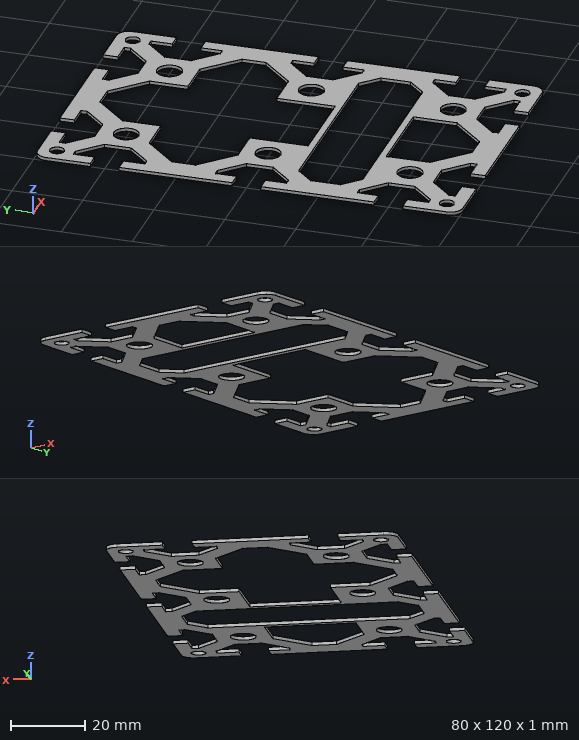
import cadquery as cq

length = 120.0
module = length / 3
width = 2 * module
thickness = 1.0
corner_radius = 3.5

slot_opening = 8.0
slot_inner_width = 20.0
slot_floor_width = 7.5
lip_thickness = 4.2
slot_depth = 12.2
slot_flank_depth = slot_depth - (slot_inner_width - slot_floor_width) / 2

core_hole_diameter = 7.0
corner_hole_diameter = 4.0
corner_hole_inset = 5.0

outer_wall = 7.5
arm_half_width = 12.5
arm_chamfer = 9.1
web_thickness = 2.0
channel_height = 18.0
channel_chamfer = 4.8

upper_node_y = module / 2
channel_y = -module / 2
cavity_half_width = width / 2 - outer_wall
cavity_top = length / 2 - outer_wall
arm_tip_half_width = arm_half_width - arm_chamfer
arm_chamfer_start = cavity_half_width - arm_chamfer
web_offset = channel_height / 2 + web_thickness


def mirrored_prism(right_side):
    """Extrude an outline symmetric about X = 0, given its right-hand points in order."""
    left_side = [(-x, y) for x, y in reversed(right_side)]
    return cq.Workplane("XY").polyline(right_side + left_side).close().extrude(thickness)


def t_slot():
    """Slot cutter that opens through the line Y = 0 and reaches down into -Y."""
    return mirrored_prism([
        (slot_opening / 2, 0),
        (slot_opening / 2, -lip_thickness),
        (slot_inner_width / 2, -lip_thickness),
        (slot_inner_width / 2, -slot_flank_depth),
        (slot_floor_width / 2, -slot_depth),
    ])


def cross_cavity():
    """Upper cavity: a cross with tapered top and side arms and a square lower arm."""
    return mirrored_prism([
        (arm_tip_half_width, cavity_top),
        (arm_half_width, cavity_top - arm_chamfer),
        (arm_half_width, upper_node_y + arm_half_width),
        (arm_chamfer_start, upper_node_y + arm_half_width),
        (cavity_half_width, upper_node_y + arm_tip_half_width),
        (cavity_half_width, upper_node_y - arm_tip_half_width),
        (arm_chamfer_start, upper_node_y - arm_half_width),
        (arm_half_width, upper_node_y - arm_half_width),
        (arm_half_width, channel_y + web_offset),
    ])


def channel_cavity():
    """Wide channel between the two thin webs, with chamfered ends."""
    channel = cq.Workplane("XY").rect(2 * cavity_half_width, channel_height).extrude(thickness)
    return channel.edges("|Z").chamfer(channel_chamfer).translate((0, channel_y, 0))


def lower_cavity():
    """Cavity below the channel, tapering towards the -Y wall."""
    return mirrored_prism([
        (arm_half_width, channel_y - web_offset),
        (arm_half_width, -cavity_top + arm_chamfer),
        (arm_tip_half_width, -cavity_top),
    ])


plate = cq.Workplane("XY").rect(width, length).extrude(thickness)
plate = plate.edges("|Z").fillet(corner_radius)

plate = plate.cut(cross_cavity()).cut(channel_cavity()).cut(lower_cavity())

column_positions = [-module / 2, module / 2]
row_positions = [-module, 0, module]

for x in column_positions:
    plate = plate.cut(t_slot().translate((x, length / 2, 0)))
    plate = plate.cut(t_slot().rotate((0, 0, 0), (0, 0, 1), 180).translate((x, -length / 2, 0)))

for y in row_positions:
    plate = plate.cut(t_slot().rotate((0, 0, 0), (0, 0, 1), 90).translate((-width / 2, y, 0)))
    plate = plate.cut(t_slot().rotate((0, 0, 0), (0, 0, 1), -90).translate((width / 2, y, 0)))

core_holes = (
    cq.Workplane("XY")
    .rarray(module, module, 2, 3)
    .circle(core_hole_diameter / 2)
    .extrude(thickness)
)

corner_holes = (
    cq.Workplane("XY")
    .rect(width - 2 * corner_hole_inset, length - 2 * corner_hole_inset, forConstruction=True)
    .vertices()
    .circle(corner_hole_diameter / 2)
    .extrude(thickness)
)

result = plate.cut(core_holes).cut(corner_holes)